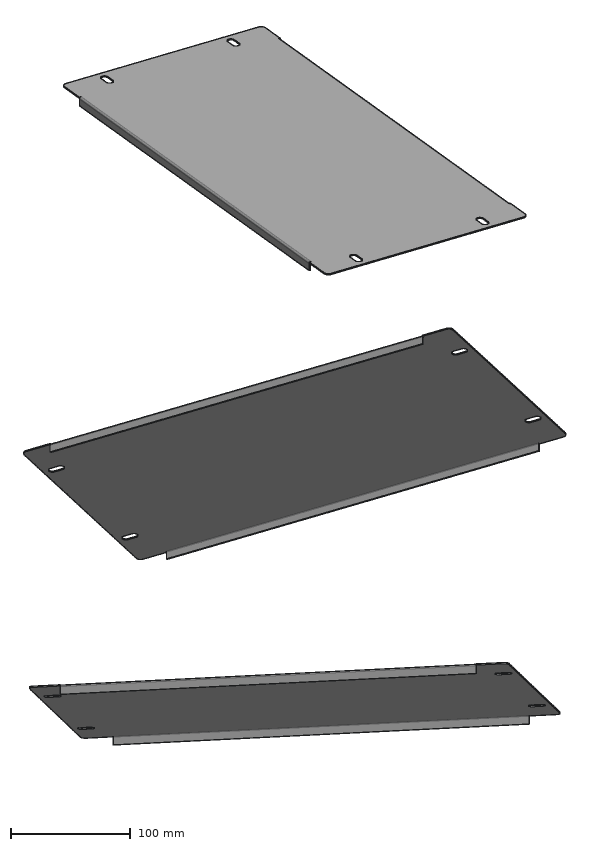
import cadquery as cq

length = 410.0
width = 199.0
height = 8.0
sheet_thickness = 1.2
corner_radius = 4.0

flange_length = 356.0
bend_outer_radius = 1.5
bend_inner_radius = bend_outer_radius - sheet_thickness

slot_length = 14.5
slot_width = 6.5
slot_spacing_x = 385.5
slot_spacing_y = 125.0


def flat_panel():
    """Rounded sheet with its top face at Z = 0, slotted near each corner."""
    panel = (
        cq.Workplane("XY")
        .workplane(offset=-sheet_thickness)
        .rect(length, width)
        .extrude(sheet_thickness)
        .edges("|Z")
        .fillet(corner_radius)
    )
    slots = (
        cq.Workplane("XY")
        .workplane(offset=-sheet_thickness)
        .rarray(slot_spacing_x, slot_spacing_y, 2, 2)
        .slot2D(slot_length, slot_width)
        .extrude(sheet_thickness)
    )
    return panel.cut(slots)


def flange_blank():
    """Channel with rounded bends, spanning both long edges."""
    outer = (
        cq.Workplane("XY")
        .box(flange_length, width, height, centered=(True, True, False))
        .translate((0, 0, -height))
        .edges("|X and >Z")
        .fillet(bend_outer_radius)
    )
    inner_height = height - sheet_thickness
    inner = (
        cq.Workplane("XY")
        .box(flange_length, width - 2 * sheet_thickness, inner_height, centered=(True, True, False))
        .translate((0, 0, -height))
        .edges("|X and >Z")
        .fillet(bend_inner_radius)
    )
    return outer.cut(inner)


def square_edge_strips():
    """Flat edge material that the bends replace."""
    return (
        cq.Workplane("XY")
        .workplane(offset=-sheet_thickness)
        .rarray(4, width - bend_outer_radius, 1, 2)
        .rect(flange_length, bend_outer_radius)
        .extrude(sheet_thickness)
    )


def clear_middle():
    """Space between the bends, filled by the flat sheet."""
    return cq.Workplane("XY").box(flange_length, width - 2 * bend_outer_radius, 2 * height)


flanges = flange_blank().cut(clear_middle())
result = flat_panel().cut(square_edge_strips()).union(flanges)